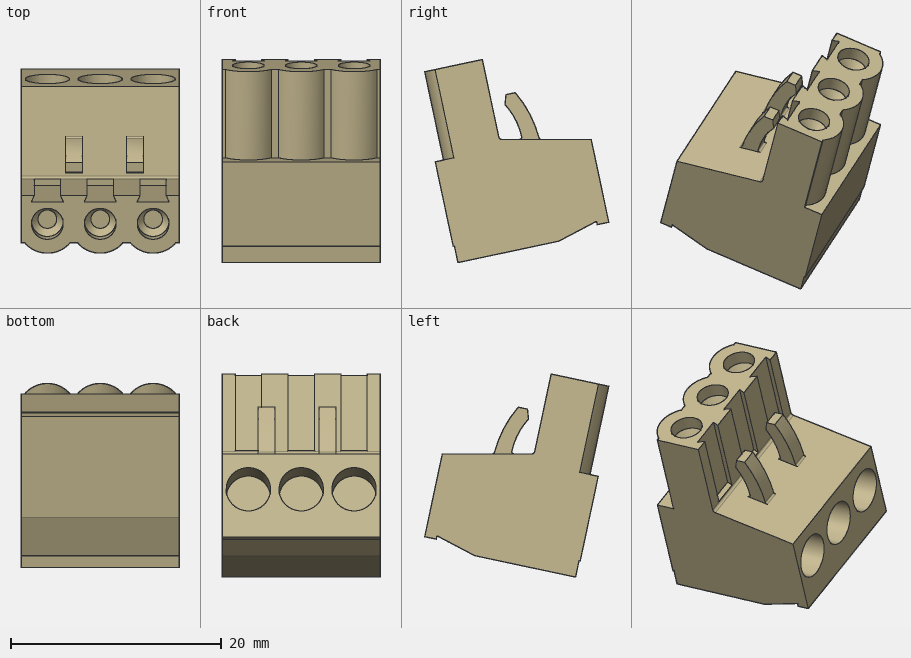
import cadquery as cq
import math

TILT = 12.0
PITCH = 5.02
WAYS = 3
WIDTH = 15.0
TOWER_DEPTH = 4.6
BODY_FRONT = 6.4
BODY_REAR = 8.53
LEDGE_DROP = 8.57
BASE_DROP = 18.4

FOOT_STEP = 0.12
FOOT_HEIGHT = 1.62

LIP_DROP = 17.62
LIP_DEPTH = 1.14
LIP_NOTCH = 0.33
RAMP_END = 3.5

SHELF_DROP = 7.75
SHELF_FILLET = 0.29

COLUMN_CHORD = 4.35
COLUMN_SAGITTA = 1.02

SLOT_MOUTH = 2.49
SLOT_FLOOR = 3.03
SLOT_DEPTH = 0.64
SLOT_LENGTH = 7.45

HOLE_RADIUS = 1.5
HOLE_SETBACK = 2.76
HOLE_DEPTH = 1.33
SCREW_RADIUS = 0.89
SCREW_DROP = 2.12
SCREW_LENGTH = 2.9

WIRE_RADIUS = 2.1
WIRE_DROP = 13.0
WIRE_DEPTH = 3.86

HOOK_WIDTH = 1.58
HOOK_SPACING = 5.79
HOOK_OFFSET = 0.4
HOOK_FILLET = 0.21
HOOK_BED = 0.39
HOOK_ROOT_REAR = 3.72
HOOK_ROOT_FRONT = 2.1
HOOK_REAR_BEND = (3.32, -5.98)
HOOK_FRONT_BEND = (1.87, -6.23)
HOOK_TIP_REAR = (2.4, -3.72)
HOOK_TIP_FRONT = (1.49, -3.72)
HOOK_NOSE = (1.2, -4.63)

WAY_X = [(i - (WAYS - 1) / 2) * PITCH for i in range(WAYS)]
HOOK_X = [HOOK_OFFSET - HOOK_SPACING / 2, HOOK_OFFSET + HOOK_SPACING / 2]
SLOPE = math.tan(math.radians(TILT))


def shelf_z(y):
    """Height of the rear shelf plane at depth y."""
    return -SHELF_DROP - y * SLOPE


def side_prism(points, width):
    """Closed (y, z) outline extruded symmetrically along X."""
    return cq.Workplane("YZ").polyline(points).close().extrude(width / 2, both=True)


def make_shell():
    foot_z = -BASE_DROP + FOOT_HEIGHT
    lip_y = BODY_REAR - LIP_DEPTH
    outline = [
        (0, 0),
        (-TOWER_DEPTH, 0),
        (-TOWER_DEPTH, -LEDGE_DROP),
        (-BODY_FRONT, -LEDGE_DROP),
        (-BODY_FRONT, foot_z),
        (-BODY_FRONT + FOOT_STEP, foot_z),
        (-BODY_FRONT + FOOT_STEP, -BASE_DROP),
        (RAMP_END, -BASE_DROP),
        (lip_y, -LIP_DROP + LIP_NOTCH),
        (lip_y, -LIP_DROP),
        (BODY_REAR, -LIP_DROP),
        (BODY_REAR, shelf_z(BODY_REAR)),
        (0, shelf_z(0)),
    ]
    shell = side_prism(outline, WIDTH)
    corner = cq.selectors.NearestToPointSelector((0, 0, shelf_z(0)))
    return shell.edges(corner).fillet(SHELF_FILLET)


def make_columns():
    columns = cq.Workplane("XY")
    for x in WAY_X:
        columns = (
            columns.moveTo(x - COLUMN_CHORD / 2, -TOWER_DEPTH)
            .threePointArc((x, -TOWER_DEPTH - COLUMN_SAGITTA), (x + COLUMN_CHORD / 2, -TOWER_DEPTH))
            .close()
        )
    return columns.extrude(-LEDGE_DROP)


def make_slot(x):
    outline = [
        (x - SLOT_MOUTH / 2, 0),
        (x - SLOT_FLOOR / 2, -SLOT_DEPTH),
        (x + SLOT_FLOOR / 2, -SLOT_DEPTH),
        (x + SLOT_MOUTH / 2, 0),
    ]
    return cq.Workplane("XY").polyline(outline).close().extrude(-SLOT_LENGTH)


def make_screw_hole(x):
    """Straight mouth, funnel, then the bore that the screw fills."""
    profile = (
        cq.Workplane("XZ")
        .lineTo(HOLE_RADIUS, 0)
        .lineTo(HOLE_RADIUS, -HOLE_DEPTH)
        .lineTo(SCREW_RADIUS, -SCREW_DROP)
        .lineTo(SCREW_RADIUS, -SCREW_DROP - SCREW_LENGTH)
        .lineTo(0, -SCREW_DROP - SCREW_LENGTH)
        .close()
    )
    return profile.revolve(360, (0, 0, 0), (0, 1, 0)).translate((x, -HOLE_SETBACK, 0))


def make_wire_hole(x):
    rear = cq.Workplane("XZ", origin=(x, BODY_REAR, -WIRE_DROP))
    return rear.circle(WIRE_RADIUS).extrude(WIRE_DEPTH)


def make_hook(x):
    """Hook arm, with its root sunk into the shelf by HOOK_BED."""
    rear_z = shelf_z(HOOK_ROOT_REAR)
    front_z = shelf_z(HOOK_ROOT_FRONT)
    profile = (
        cq.Workplane("YZ")
        .moveTo(HOOK_ROOT_REAR, rear_z - HOOK_BED)
        .lineTo(HOOK_ROOT_REAR, rear_z)
        .threePointArc(HOOK_REAR_BEND, HOOK_TIP_REAR)
        .lineTo(*HOOK_TIP_FRONT)
        .lineTo(*HOOK_NOSE)
        .threePointArc(HOOK_FRONT_BEND, (HOOK_ROOT_FRONT, front_z))
        .lineTo(HOOK_ROOT_FRONT, front_z - HOOK_BED)
        .close()
    )
    return profile.extrude(HOOK_WIDTH / 2, both=True).translate((x, 0, 0))


def fillet_hook_root(housing, x):
    for y in (HOOK_ROOT_REAR, HOOK_ROOT_FRONT):
        root_edge = cq.selectors.NearestToPointSelector((x, y, shelf_z(y)))
        housing = housing.edges(root_edge).fillet(HOOK_FILLET)
    return housing


def tilt(solid):
    return solid.rotate((0, 0, 0), (1, 0, 0), TILT)


def make_housing():
    housing = make_shell().union(make_columns())
    for x in HOOK_X:
        housing = fillet_hook_root(housing.union(make_hook(x)), x)
    for x in WAY_X:
        housing = housing.cut(make_slot(x)).cut(make_screw_hole(x)).cut(make_wire_hole(x))
    return tilt(housing)


def make_screw(x):
    top = cq.Workplane("XY", origin=(x, -HOLE_SETBACK, -SCREW_DROP))
    return tilt(top.circle(SCREW_RADIUS).extrude(-SCREW_LENGTH))


housing = make_housing()
screws = [make_screw(x) for x in WAY_X]

result = cq.Compound.makeCompound([housing.val(), *[screw.val() for screw in screws]])